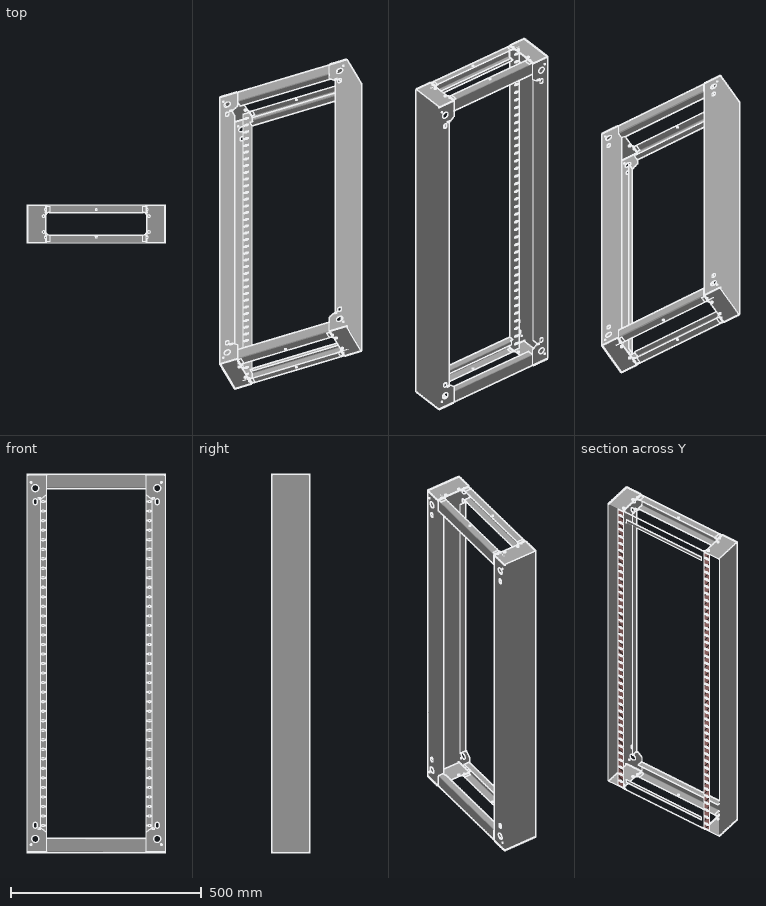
import cadquery as cq

HEIGHT = 994.0
WIDTH = 364.0
DEPTH = 100.0

SHEET = 1.2
PANEL_BEND_RADIUS = 2.0
RAIL_BEND_RADIUS = 4.0

FLANGE_EDGE = 130.0
RETURN_FACE = 146.0
RETURN_DEPTH = 20.0
LIP_WIDTH = 19.0
CORNER_SEAM = 3.0
GUSSET_BOTTOM = 431.0
GUSSET_CHAMFER_WIDTH = 15.0
GUSSET_CHAMFER_HEIGHT = 12.0
RELIEF_WIDTH = 7.0
RELIEF_HEIGHT = 4.0
END_FLANGE_EDGE = 133.0

MOUNT_X = 160.0
MOUNT_Z = 460.0
MOUNT_DIAMETER = 18.0
OBLONG_Z = 424.0
OBLONG_WIDTH = 10.0
OBLONG_LENGTH = 15.0
PILOT_X = 171.0
PILOT_Z = 475.0
PILOT_DIAMETER = 4.0

PERFORATED_SPAN = 850.0
PERFORATED_STEPS = 34
PITCH = PERFORATED_SPAN / PERFORATED_STEPS
SLOT_LENGTH = 12.0
SLOT_WIDTH = 3.0
SLOT_HOLE_DIAMETER = 6.0
SLOT_COUNT = 39

RAIL_HEIGHT = 39.0
RAIL_FRONT_RETURN = 18.0
RAIL_REAR_RETURN = 21.0
RAIL_LIP_HEIGHT = 12.0
RAIL_LIP_SETBACK = 8.0
OPENING_X = 132.0
OPENING_FRONT = 29.0
OPENING_REAR = 31.0
OPENING_CORNER = 10.0
TIE_OVERLAP = 8.4
WALL_CLEARANCE = 3.0
RAIL_HOLE_FRONT = -35.0
RAIL_HOLE_REAR = 38.0
RAIL_HOLE_DIAMETER = 5.0
JOINT_X = 133.0
TIE_HOLE_X = 138.0
TIE_HOLE_Y = 21.0
TIE_HOLE_DIAMETER = 6.0

HALF_HEIGHT = HEIGHT / 2
HALF_WIDTH = WIDTH / 2
HALF_DEPTH = DEPTH / 2
FLANGE_TOP = HALF_HEIGHT - CORNER_SEAM
BEND_RELIEF_X = HALF_WIDTH - PANEL_BEND_RADIUS
BEND_RELIEF_Y = HALF_DEPTH - PANEL_BEND_RADIUS
LIP_FACE = HALF_DEPTH - RETURN_DEPTH
RAIL_BOTTOM = HALF_HEIGHT - RAIL_HEIGHT
RAIL_LIP_FACE = HALF_DEPTH - RAIL_REAR_RETURN
RAIL_LIP_END = FLANGE_EDGE - RAIL_LIP_SETBACK


def offset_to_left(path):
    """Return an axis-aligned path shifted one sheet thickness to its left."""
    directions = []
    for (u0, v0), (u1, v1) in zip(path, path[1:]):
        length = abs(u1 - u0) + abs(v1 - v0)
        directions.append(((u1 - u0) / length, (v1 - v0) / length))
    shifted = []
    for index, (u, v) in enumerate(path):
        normals = {(-dv, du) for du, dv in directions[max(index - 1, 0):index + 1]}
        shift_u = sum(normal[0] for normal in normals)
        shift_v = sum(normal[1] for normal in normals)
        shifted.append((u + SHEET * shift_u, v + SHEET * shift_v))
    return shifted


def folded_sheet(plane, path, bend_radius, start, end):
    """Fold a sheet along the outside path on a plane and extrude it from start to end.

    The path bends left at each corner, so the sheet lies to the left of it.
    """
    inside = offset_to_left(path)
    profile = cq.Workplane(plane).workplane(offset=start)
    sheet = profile.polyline(path + inside[::-1]).close().extrude(end - start)
    middle = (end - start) / 2
    for corners, radius in ((path, bend_radius), (inside, bend_radius - SHEET)):
        for u, v in corners[1:-1]:
            point = profile.plane.toWorldCoords((u, v, middle)).toTuple()
            sheet = sheet.edges(cq.selectors.NearestToPointSelector(point)).fillet(radius)
    return sheet


def box(x_range, y_range, z_range):
    """Return a box between the given limits."""
    sizes = [high - low for low, high in (x_range, y_range, z_range)]
    corner = (x_range[0], y_range[0], z_range[0])
    return cq.Workplane("XY").box(*sizes, centered=False).translate(corner)


def drill_y(diameter, points):
    """Return cutters along Y through the full depth at the (x, z) points."""
    plane = cq.Workplane("XZ").pushPoints(points)
    return plane.circle(diameter / 2).extrude(DEPTH, both=True)


def drill_z(diameter, points):
    """Return cutters along Z through one end of the frame at the (x, y) points."""
    plane = cq.Workplane("XY", origin=(0, 0, HALF_HEIGHT)).pushPoints(points)
    return plane.circle(diameter / 2).extrude(CORNER_SEAM, both=True)


def lip_perforation():
    """Return the cutters through the rear lip of the left side panel, evenly pitched along Z."""
    lip_middle = -FLANGE_EDGE - LIP_WIDTH / 2
    points = [(lip_middle, PITCH * (index - (SLOT_COUNT - 1) / 2)) for index in range(SLOT_COUNT)]
    plane = cq.Workplane("XZ", origin=(0, LIP_FACE, 0)).pushPoints(points)
    slots = plane.rect(SLOT_LENGTH, SLOT_WIDTH).extrude(2 * SHEET, both=True)
    holes = plane.circle(SLOT_HOLE_DIAMETER / 2).extrude(2 * SHEET, both=True)
    return slots.union(holes)


def gusset_cut():
    """Return the cutter for the sloped lower edge and bend relief of the upper front gusset."""
    slope = [
        (-FLANGE_EDGE, GUSSET_BOTTOM),
        (-FLANGE_EDGE, GUSSET_BOTTOM + GUSSET_CHAMFER_HEIGHT),
        (-FLANGE_EDGE - GUSSET_CHAMFER_WIDTH, GUSSET_BOTTOM),
    ]
    cutter = cq.Workplane("XZ", origin=(0, -HALF_DEPTH, 0)).polyline(slope).close().extrude(SHEET, both=True)
    relief = box(
        (-RETURN_FACE - RELIEF_WIDTH, -RETURN_FACE),
        (-HALF_DEPTH, -HALF_DEPTH + SHEET),
        (GUSSET_BOTTOM, GUSSET_BOTTOM + RELIEF_HEIGHT),
    )
    return cutter.union(relief)


def make_side_panel():
    """Return the left side panel: wall, flanges, front return and perforated rear lip."""
    rear_path = [
        (-FLANGE_EDGE - LIP_WIDTH, LIP_FACE),
        (-FLANGE_EDGE, LIP_FACE),
        (-FLANGE_EDGE, HALF_DEPTH),
        (-HALF_WIDTH, HALF_DEPTH),
        (-HALF_WIDTH, -HALF_DEPTH),
    ]
    return_path = rear_path + [(-RETURN_FACE, -HALF_DEPTH), (-RETURN_FACE, -LIP_FACE)]
    gusset_path = rear_path + [(-FLANGE_EDGE, -HALF_DEPTH)]
    end_path = [
        (-END_FLANGE_EDGE, HALF_HEIGHT),
        (-HALF_WIDTH, HALF_HEIGHT),
        (-HALF_WIDTH, FLANGE_TOP),
    ]
    panel = folded_sheet("XY", return_path, PANEL_BEND_RADIUS, -GUSSET_BOTTOM, GUSSET_BOTTOM)
    corner = folded_sheet("XY", gusset_path, PANEL_BEND_RADIUS, GUSSET_BOTTOM, FLANGE_TOP).cut(gusset_cut())
    end_flange = folded_sheet("XZ", end_path, PANEL_BEND_RADIUS, -HALF_DEPTH, HALF_DEPTH)
    for y_range in ((-HALF_DEPTH, -BEND_RELIEF_Y), (BEND_RELIEF_Y, HALF_DEPTH)):
        end_flange = end_flange.cut(box((-HALF_WIDTH, -BEND_RELIEF_X), y_range, (FLANGE_TOP, HALF_HEIGHT)))
    corner = corner.union(end_flange)
    panel = panel.union(corner).union(corner.mirror("XY"))

    for end in (-1, 1):
        panel = panel.cut(drill_y(MOUNT_DIAMETER, [(-MOUNT_X, end * MOUNT_Z)]))
        panel = panel.cut(drill_y(PILOT_DIAMETER, [(-PILOT_X, end * PILOT_Z)]))
        oblong = cq.Workplane("XZ").center(-MOUNT_X, end * OBLONG_Z)
        panel = panel.cut(oblong.slot2D(OBLONG_LENGTH, OBLONG_WIDTH, 90).extrude(DEPTH, both=True))
    panel = panel.cut(lip_perforation())
    holes = end_holes()
    return panel.cut(holes).cut(holes.mirror("XY"))


def end_holes():
    """Return cutters for the holes that join the top end frame to the side panels."""
    ties = [(x, y) for x in (-TIE_HOLE_X, TIE_HOLE_X) for y in (-TIE_HOLE_Y, TIE_HOLE_Y)]
    joints = [(x, y) for x in (-JOINT_X, JOINT_X) for y in (RAIL_HOLE_FRONT, RAIL_HOLE_REAR)]
    return drill_z(TIE_HOLE_DIAMETER, ties).union(drill_z(RAIL_HOLE_DIAMETER, joints))


def make_tie_plate():
    """Return the plate that joins both rails at their left ends, under the side panel flange."""
    outer_end = -HALF_WIDTH + WALL_CLEARANCE
    half_length = HALF_DEPTH - SHEET
    overlap_half_length = HALF_DEPTH - RAIL_BEND_RADIUS
    levels = (HALF_HEIGHT - 2 * SHEET, HALF_HEIGHT - SHEET)
    plate = box((outer_end, -FLANGE_EDGE), (-half_length, half_length), levels)
    overlap = box(
        (-FLANGE_EDGE, -FLANGE_EDGE + TIE_OVERLAP),
        (-overlap_half_length, overlap_half_length),
        levels,
    )
    opening = box((-OPENING_X, OPENING_X), (-OPENING_FRONT, OPENING_REAR), levels)
    return plate.union(overlap).cut(opening.edges("|Z").fillet(OPENING_CORNER))


def make_end_frame():
    """Return the top end frame: folded front and rear rails joined by a tie plate at each end."""
    front_path = [
        (-OPENING_FRONT, HALF_HEIGHT),
        (-HALF_DEPTH, HALF_HEIGHT),
        (-HALF_DEPTH, RAIL_BOTTOM),
        (-HALF_DEPTH + RAIL_FRONT_RETURN, RAIL_BOTTOM),
    ]
    rear_path = [
        (RAIL_LIP_FACE, RAIL_BOTTOM + RAIL_LIP_HEIGHT),
        (RAIL_LIP_FACE, RAIL_BOTTOM),
        (HALF_DEPTH, RAIL_BOTTOM),
        (HALF_DEPTH, HALF_HEIGHT),
        (OPENING_REAR, HALF_HEIGHT),
    ]
    front_rail = folded_sheet("YZ", front_path, RAIL_BEND_RADIUS, -FLANGE_EDGE, FLANGE_EDGE)
    rear_rail = folded_sheet("YZ", rear_path, RAIL_BEND_RADIUS, -FLANGE_EDGE, FLANGE_EDGE)
    lip_depths = (RAIL_LIP_FACE, RAIL_LIP_FACE + RAIL_BEND_RADIUS)
    lip_levels = (RAIL_BOTTOM, RAIL_BOTTOM + RAIL_LIP_HEIGHT)
    for x_range in ((-FLANGE_EDGE, -RAIL_LIP_END), (RAIL_LIP_END, FLANGE_EDGE)):
        rear_rail = rear_rail.cut(box(x_range, lip_depths, lip_levels))

    tie_plate = make_tie_plate()
    frame = front_rail.union(tie_plate).union(tie_plate.mirror("YZ")).union(rear_rail)
    middle_holes = [(0, RAIL_HOLE_FRONT), (0, RAIL_HOLE_REAR)]
    return frame.cut(end_holes()).cut(drill_z(RAIL_HOLE_DIAMETER, middle_holes))


left_panel = make_side_panel()
right_panel = left_panel.mirror("YZ")
top_frame = make_end_frame()
bottom_frame = top_frame.mirror("XY")

result = cq.Compound.makeCompound(
    [left_panel.val(), right_panel.val(), top_frame.val(), bottom_frame.val()]
)